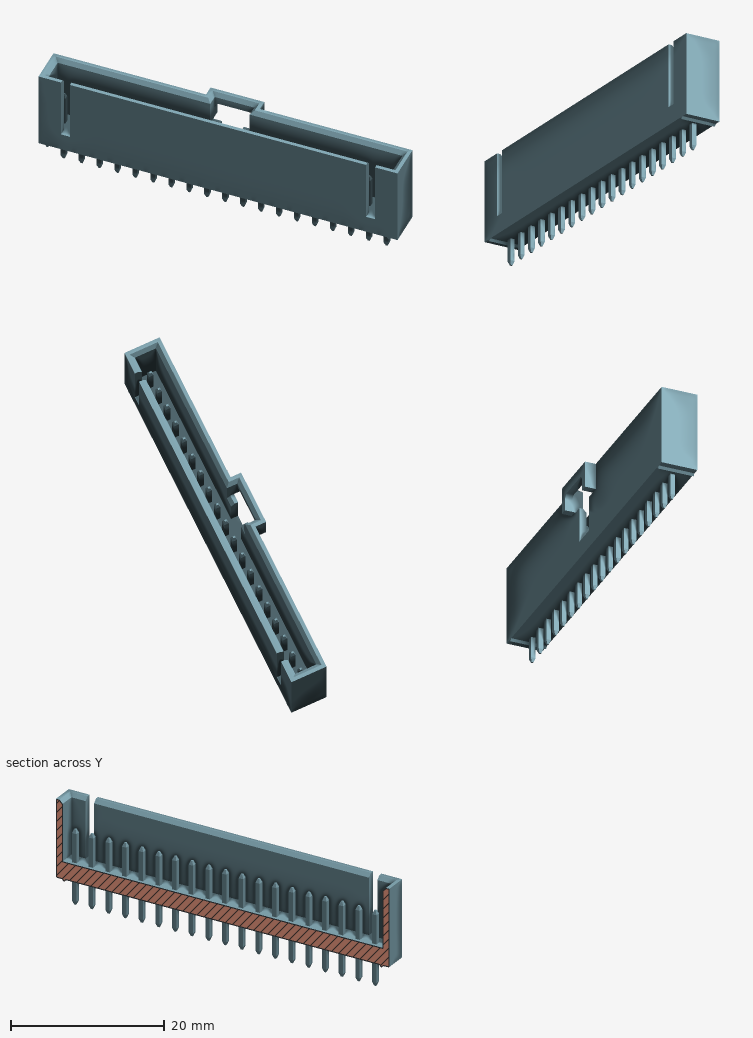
import cadquery as cq

length = 50.8
depth = 5.1
height = 11.45
cavity_depth = 8.9
wall = 1.0
rim_width = 0.5
bevel = wall - rim_width

key_width = 7.6
key_projection = 1.5
key_height = 3.8
key_window_top = 1.5
key_window_radius = 0.75
key_slot_width = 3.05

slot_width = 1.25
slot_offset = 21.6

ridge_width = 0.6
ridge_drop = 0.3
ridge_offset = 24.2

pin_count = 19
pin_pitch = 2.55
pin_size = 0.65
pin_tip_size = 0.25
pin_taper = 0.55
pin_top = -4.05
pin_bottom = -15.1

front = -depth / 2
back = depth / 2
key_back = back + key_projection
key_inner_width = key_width - 2 * wall


def block(width, y_min, y_max, z_min, z_max, x=0):
    """Box of the given width centred on x."""
    size = (width, y_max - y_min, z_max - z_min)
    corner = (x - width / 2, y_min, z_min)
    return cq.Workplane("XY").box(*size, centered=False).translate(corner)


def frustum(x, y, z, base, end, rise):
    """Rectangular frustum from the base (x, y) size at z to the end size at z + rise."""
    return (
        cq.Workplane("XY", origin=(x, y, z))
        .rect(*base)
        .workplane(offset=rise)
        .rect(*end)
        .loft(ruled=True)
    )


def bevelled_opening(width, y_min, y_max, opening_depth):
    """Rectangular opening down from the rim with a lead-in bevel around its mouth."""
    y_size = y_max - y_min
    mouth = (width + 2 * bevel, y_size + 2 * bevel)
    lead_in = frustum(0, (y_min + y_max) / 2, -bevel, (width, y_size), mouth, bevel)
    return block(width, y_min, y_max, -opening_depth, 0).union(lead_in)


def housing():
    body = block(length, front, back, -height, 0)
    key = block(key_width, 0, key_back, -key_height, 0)
    return body.union(key)


def cavity():
    return bevelled_opening(length - 2 * wall, front + wall, back - wall, cavity_depth)


def key_opening():
    """Inside of the key box, its back window and the slot and ledges below it."""
    inner_back = key_back - wall
    inside = bevelled_opening(key_inner_width, 0, inner_back, key_height)
    window = (
        block(key_inner_width, inner_back, key_back, -key_height, -key_window_top)
        .edges("|Y and >Z")
        .fillet(key_window_radius)
    )
    lower_slot = block(key_slot_width, 0, back, -cavity_depth, -key_height)
    ledge_bevel = (
        cq.Workplane("YZ", origin=(-key_inner_width / 2, 0, 0))
        .polyline([
            (back - wall, -key_height - bevel),
            (back - rim_width, -key_height),
            (back - wall, -key_height),
        ])
        .close()
        .extrude(key_inner_width)
    )
    return inside.union(window).union(lower_slot).union(ledge_bevel)


def front_slot(x):
    return block(slot_width, front, 0, -cavity_depth, 0, x)


def ridge(x):
    """Ridge running the full depth of the housing's underside."""
    half = ridge_width / 2
    return (
        cq.Workplane("XZ", origin=(x, back, -height))
        .polyline([(-half, 0), (half, 0), (0, -ridge_drop)])
        .close()
        .extrude(depth)
    )


def pin(x):
    shank_top = pin_top - pin_taper
    shank_bottom = pin_bottom + pin_taper
    section = (pin_size, pin_size)
    tip = (pin_tip_size, pin_tip_size)
    shank = block(pin_size, -pin_size / 2, pin_size / 2, shank_bottom, shank_top, x)
    upper_tip = frustum(x, 0, shank_top, section, tip, pin_taper)
    lower_tip = frustum(x, 0, shank_bottom, section, tip, -pin_taper)
    return shank.union(upper_tip).union(lower_tip)


result = housing().cut(cavity()).cut(key_opening())
for side in (-1, 1):
    result = result.cut(front_slot(side * slot_offset))
    result = result.union(ridge(side * ridge_offset))

first_pin_x = -(pin_count - 1) / 2 * pin_pitch
for i in range(pin_count):
    result = result.union(pin(first_pin_x + i * pin_pitch))